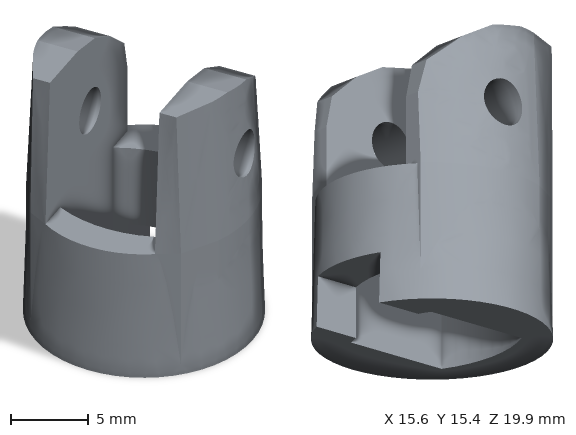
import cadquery as cq

total_height = 19.86
collar_height = 9.33

collar_bottom_diameter = 15.55
collar_bottom_radius = collar_bottom_diameter / 2
collar_top_radius = 7.49

half_gap = 3.91
opening_back_y = 4.37
opening_front_y = -5.12
opening_corner_rise = 0.91

notch_width = 6.12
notch_height = 3.45

arm_back_y = 5.58
root_back_x = 5.32
root_side_x = 7.53
root_facet_start = (6.9, -3.15)
root_facet_end = (5.38, -5.58)
root_front_y = -6.38
tip_back_x = 4.77
tip_side_x = 6.93
tip_facet_start = (6.4, -3.1)
tip_facet_end = (5.12, -5.72)
tip_front_y = -5.72

tip_slope = [(-1.69, total_height), (0.81, 19.38), (3.02, 18.21), (5.1, 16.4), (arm_back_y, 14.18)]

pin_radius = 1.59
pin_y = 0.12
pin_z = 14.18

clearance = 1.99


def arm_section(plane, back_x, side_x, facet_start, facet_end, front_y):
    """Section of the +X arm: flat inside, curved outside, two flat facets at the front."""
    return (
        plane.moveTo(half_gap, arm_back_y)
        .lineTo(back_x, arm_back_y)
        .threePointArc((side_x, 0), facet_start)
        .lineTo(*facet_end)
        .lineTo(half_gap, front_y)
        .close()
    )


def root_section(plane):
    return arm_section(plane, root_back_x, root_side_x, root_facet_start, root_facet_end, root_front_y)


def make_collar():
    return (
        cq.Workplane("XY")
        .circle(collar_bottom_radius)
        .workplane(offset=collar_height)
        .circle(collar_top_radius)
        .loft()
    )


def make_arm_root():
    """Straight prism that carries the arm down to the foot of the collar."""
    return root_section(cq.Workplane("XY")).extrude(collar_height)


def make_arm():
    """Tapered arm above the collar, with its back top corner sloped off."""
    root = root_section(cq.Workplane("XY").workplane(offset=collar_height))
    arm = arm_section(
        root.workplane(offset=total_height - collar_height),
        tip_back_x, tip_side_x, tip_facet_start, tip_facet_end, tip_front_y,
    ).loft(ruled=True)
    waste = (
        cq.Workplane("YZ")
        .polyline(tip_slope)
        .lineTo(arm_back_y + clearance, pin_z)
        .lineTo(arm_back_y + clearance, total_height + clearance)
        .lineTo(tip_slope[0][0], total_height + clearance)
        .close()
        .extrude(collar_bottom_radius + clearance)
    )
    return arm.cut(waste)


def make_opening():
    """Straight-sided vertical passage with bowed front and back walls."""
    back_corner_y = opening_back_y - opening_corner_rise
    front_corner_y = opening_front_y + opening_corner_rise
    return (
        cq.Workplane("XY")
        .moveTo(-half_gap, back_corner_y)
        .threePointArc((0, opening_back_y), (half_gap, back_corner_y))
        .lineTo(half_gap, front_corner_y)
        .threePointArc((0, opening_front_y), (-half_gap, front_corner_y))
        .close()
        .extrude(collar_height)
    )


def make_notch():
    return cq.Workplane("XY").box(
        notch_width, collar_bottom_radius + clearance, notch_height, centered=(True, False, False)
    )


def make_pin_hole():
    half_length = collar_bottom_radius + clearance
    return cq.Workplane("YZ").center(pin_y, pin_z).circle(pin_radius).extrude(half_length, both=True)


right_side = make_arm_root().union(make_arm())
left_side = right_side.mirror("YZ")
body = make_collar().union(right_side).union(left_side)
result = body.cut(make_opening()).cut(make_notch()).cut(make_pin_hole())